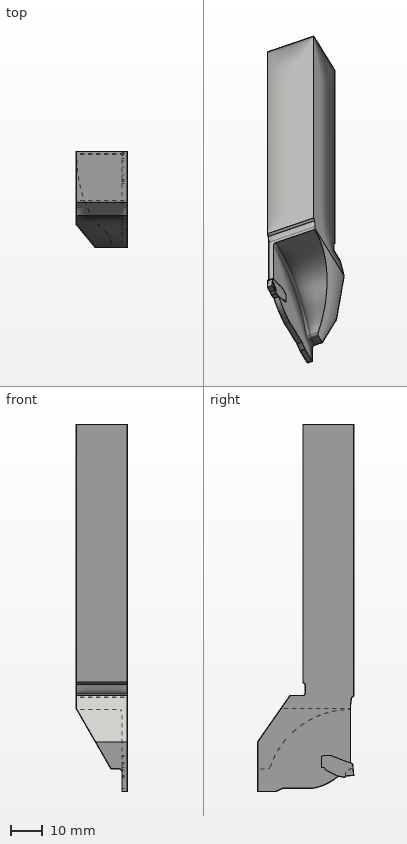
import cadquery as cq
import math

length = 115.0
shank = 16.0
depth = 30.1
blade_thickness = 1.7
blade_face = shank - blade_thickness

blade_back = 1.0
back_step = 0.7
back_step_top = 30.0
back_step_base = 29.4
back_taper_base = 27.0
notch_depth = 0.7
notch_floor = 30.1
notch_top = 34.3
notch_fillet = 0.6
shoulder_depth = 20.0
front_edge_top = 15.6
foot_depth = 24.5
foot_rise_depth = 22.3
belly_height = 1.0
belly_depth = 12.9
belly_end_depth = 5.0
belly_radius = 16.1
belly_end_height = 4.8

flank_top = 26.0
flank_angle = 30.0
recess_radius = 26.6
recess_center_height = -0.8
ledge_height = 7.1
corner_radius = 1.0
root_fillet = 0.9
margin = 5.8

relief_depth = 0.2
relief_base = 4.4
relief_top = 7.2

insert_top_front = (blade_back, 9.1)
insert_outline = [
    (0.0, 5.1), (0.3, 8.6), insert_top_front, (1.7, 9.2), (7.4, 11.4), (9.4, 11.4), (10.1, 11.0),
    (10.1, 7.6), (9.3, 7.6), (8.7, 6.8), (belly_end_depth, belly_end_height),
    (3.0, 4.5), (2.2, 5.0),
]
relief_outline = [(0, relief_base), (0, relief_top), (0.9, relief_top), (2.6, 6.1), (2.6, relief_base)]


def side_plane(x):
    """Plane across X at x, with local axes depth (-Y) and height (Z), and normal -X."""
    return cq.Workplane(cq.Plane(origin=(x, 0, 0), xDir=(0, -1, 0), normal=(-1, 0, 0)))


def prism(points, x_min, x_max):
    """Extrude a closed (depth, height) polygon from x_max back to x_min."""
    return side_plane(x_max).polyline(points).close().extrude(x_max - x_min)


def head_and_shank():
    notch_wall = shank - notch_depth
    return (
        side_plane(shank)
        .moveTo(0, length)
        .lineTo(shank, length)
        .lineTo(shank, notch_top)
        .lineTo(notch_wall, notch_top - notch_depth)
        .lineTo(notch_wall, notch_floor + notch_fillet)
        .radiusArc((notch_wall + notch_fillet, notch_floor), -notch_fillet)
        .lineTo(shoulder_depth, notch_floor)
        .lineTo(depth, front_edge_top)
        .lineTo(depth, 0)
        .lineTo(foot_depth, 0)
        .lineTo(foot_rise_depth, belly_height)
        .lineTo(belly_depth, belly_height)
        .radiusArc((belly_end_depth, belly_end_height), belly_radius)
        .lineTo(blade_back, belly_end_height)
        .lineTo(blade_back, back_taper_base)
        .lineTo(back_step, back_step_base)
        .lineTo(0, back_step_top)
        .close()
        .extrude(shank)
    )


def flank_cutter():
    """Wedge below the flank, which leans away from the -X side."""
    reach = flank_top * math.tan(math.radians(flank_angle))
    return (
        cq.Workplane("XZ")
        .polyline([(0, flank_top), (reach, 0), (0, 0)])
        .close()
        .extrude(depth)
        .intersect(cq.Workplane("XY").box(blade_face, 2 * depth, 2 * length, centered=(False, True, True)))
    )


def recess_cutter():
    """Space beside the blade, with the rounded edge along its root."""
    top = recess_center_height + recess_radius
    ledge_angle = math.asin((ledge_height - recess_center_height) / recess_radius)
    corner_depth = blade_back + recess_radius * math.cos(ledge_angle)
    middle_angle = (ledge_angle + math.pi / 2) / 2
    arc_middle = (
        blade_back + recess_radius * math.cos(middle_angle),
        recess_center_height + recess_radius * math.sin(middle_angle),
    )
    cutter = (
        side_plane(blade_face)
        .moveTo(-margin, -margin)
        .lineTo(-margin, top)
        .lineTo(blade_back, top)
        .threePointArc(arc_middle, (corner_depth, ledge_height))
        .lineTo(depth + margin, ledge_height)
        .lineTo(depth + margin, -margin)
        .close()
        .extrude(blade_face + margin)
    )
    corner = cq.selectors.NearestToPointSelector((blade_face / 2, -corner_depth, ledge_height))
    cutter = cutter.edges("|X").edges(corner).fillet(corner_radius)
    return cutter.faces(">X").edges().fillet(root_fillet)


def make_insert():
    blank = prism(insert_outline, blade_face, shank)
    tilted_wedge = (
        cq.Workplane("XZ")
        .polyline([
            (blade_face, relief_base),
            (blade_face, relief_top),
            (blade_face + relief_depth, relief_top),
        ])
        .close()
        .extrude(depth, both=True)
    )
    relief = prism(relief_outline, blade_face, shank).intersect(tilted_wedge)
    return blank.cut(relief)


def make_holder():
    seat = prism(insert_outline, blade_face, shank)
    tip_clearance = prism(
        [
            (0, 0),
            (0, insert_top_front[1]),
            insert_top_front,
            (belly_end_depth, belly_end_height),
            (belly_end_depth, 0),
        ],
        0,
        shank,
    )
    return head_and_shank().cut(flank_cutter()).cut(recess_cutter()).cut(seat).cut(tip_clearance)


holder = make_holder()
insert = make_insert()
result = cq.Compound.makeCompound([holder.val(), insert.val()])